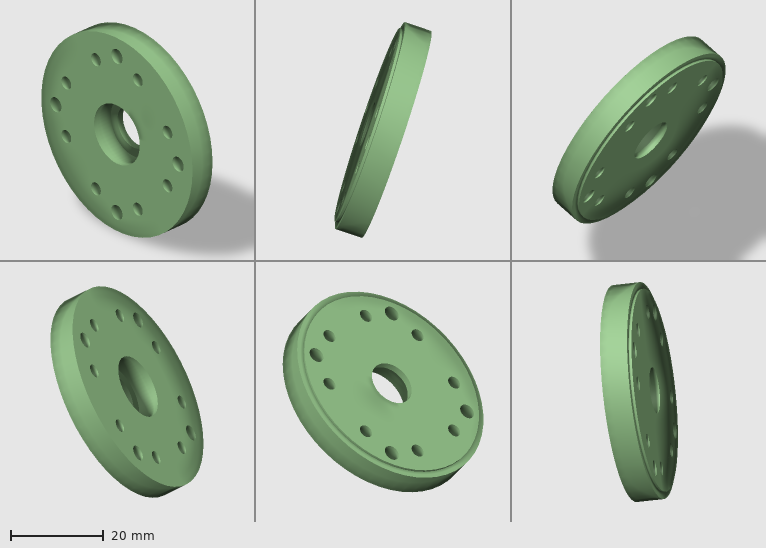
import cadquery as cq

disc_diameter = 47.0
total_thickness = 6.6
pad_height = 0.6
pad_diameter = 44.0
disc_thickness = total_thickness - pad_height

bore_diameter = 10.0
counterbore_diameter = 14.2
counterbore_depth = 5.0

large_hole_diameter = 3.5
large_hole_circle_radius = 19.0
large_hole_count = 4
small_hole_diameter = 3.0
small_hole_circle_radius = 17.0
small_hole_count = 8
small_hole_start_angle = 360 / small_hole_count / 2


def cylinder(diameter, start, length):
    """Solid cylinder about the Y axis, running from Y = start toward +Y."""
    plane = cq.Workplane("XZ", origin=(0, start, 0))
    return plane.circle(diameter / 2).extrude(-length)


def hole_ring(diameter, circle_radius, start_angle, count):
    """Full-thickness cylinders equally spaced on a circle about the Y axis."""
    ring = cq.Workplane("XZ").polarArray(circle_radius, start_angle, 360, count)
    return ring.circle(diameter / 2).extrude(-total_thickness)


disc = cylinder(disc_diameter, 0, disc_thickness)
pad = cylinder(pad_diameter, disc_thickness, pad_height)
body = disc.union(pad)

body = body.cut(cylinder(bore_diameter, 0, total_thickness))
body = body.cut(cylinder(counterbore_diameter, 0, counterbore_depth))

large_holes = hole_ring(large_hole_diameter, large_hole_circle_radius, 0, large_hole_count)
small_holes = hole_ring(
    small_hole_diameter, small_hole_circle_radius, small_hole_start_angle, small_hole_count
)

result = body.cut(large_holes).cut(small_holes)